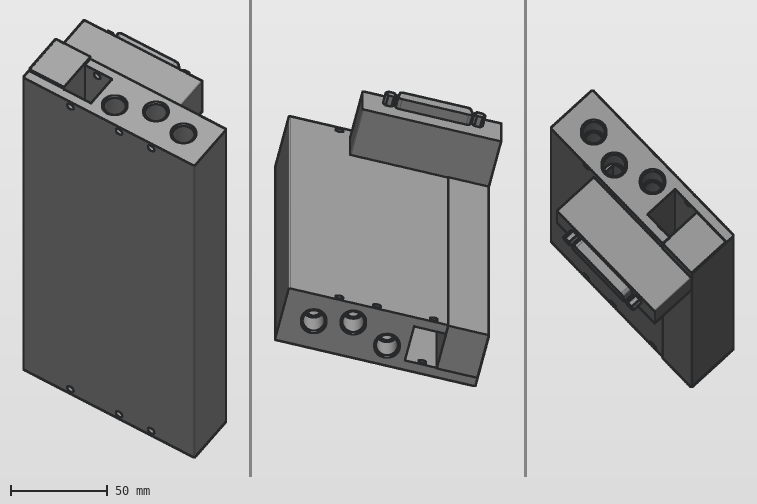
import cadquery as cq
import math

length = 238.0
width = 106.6
depth = 61.6

end_step = 1.5
body_depth = 29.8
body_bottom = end_step
body_top = length - end_step
body_edge_radius = 0.7

side_recess = 0.2
rail_right = 22.0
rail_front = 5.5
rail_back = 30.0
rail_edge_radius = 0.7

passage_right = 38.8
passage_front = 5.2
passage_back = 24.8

port_pitch = 20.0
first_port_x = 49.7
port_y_positions = [11.0, 19.3, 15.0]
port_mouth_diameter = 13.3
port_diameter = 11.5
port_chamfer = (port_mouth_diameter - port_diameter) / 2
port_length = 19.0
channel_diameter = 9.3
flat_channel_width = 7.5
flat_channel_port = 1

cross_hole_diameter = 4.0
cross_hole_inset = 3.8
cross_hole_x = [29.5, first_port_x + port_pitch / 2, first_port_x + 1.5 * port_pitch]

housing_right = 74.0
housing_bottom = 202.8
housing_top = 227.5
housing_back = 56.0
housing_edge_radius = 0.5

shell_center_x = 36.7
shell_bottom = 214.7
shell_height = 9.3
shell_width = 40.5
shell_side_angle = 10.0
shell_corner_radius = 2.1

post_spacing = 47.1
post_across_corners = 6.0
post_center_z = 218.0


def box(x_range, y_range, z_range):
    """Block between the given limits on each axis."""
    size = [high - low for low, high in (x_range, y_range, z_range)]
    corner = (x_range[0], y_range[0], z_range[0])
    return cq.Workplane("XY").box(*size, centered=False).translate(corner)


def make_body():
    body = box((0, width), (0, body_depth), (body_bottom, body_top)).edges("|Z").fillet(body_edge_radius)
    rail = box((side_recess, rail_right), (rail_front, rail_back), (0, length))
    rail = rail.edges("|Z and <X").fillet(rail_edge_radius)
    passage = box((rail_right, passage_right), (passage_front, passage_back), (0, length))
    return body.union(rail).cut(passage)


def port_cutter(x, y):
    """Chamfered blind ports sunk from both ends of the body."""
    radius = port_diameter / 2
    mouth_radius = port_mouth_diameter / 2
    profile = [
        (0, 0),
        (mouth_radius, 0),
        (radius, port_chamfer),
        (radius, port_length),
        (0, port_length),
    ]
    port = cq.Workplane("XZ").polyline(profile).close().revolve(360, (0, 0), (0, 1))
    lower_port = port.translate((x, y, body_bottom))
    upper_port = port.mirror("XY").translate((x, y, body_top))
    return lower_port.union(upper_port)


def channel_cutter(x, y, flat_sided):
    """Channel joining the two ports of one axis, optionally narrowed by a flat on each side."""
    channel = cq.Workplane("XY", origin=(x, y, 0)).circle(channel_diameter / 2).extrude(length)
    if flat_sided:
        half_width = flat_channel_width / 2
        channel = channel.intersect(box((x - half_width, x + half_width), (0, body_depth), (0, length)))
    return channel


def cross_hole_cutters():
    heights = [body_bottom + cross_hole_inset, body_top - cross_hole_inset]
    centers = [(x, z) for x in cross_hole_x for z in heights]
    return cq.Workplane("XZ").pushPoints(centers).circle(cross_hole_diameter / 2).extrude(-rail_back)


def make_shell():
    side_shift = shell_height * math.tan(math.radians(shell_side_angle))
    half_bottom = shell_width / 2
    half_top = half_bottom - side_shift
    outline = [
        (-half_bottom, 0),
        (half_bottom, 0),
        (half_top, shell_height),
        (-half_top, shell_height),
    ]
    shell = cq.Workplane("XZ").polyline(outline).close().extrude(-(depth - body_depth))
    shell = shell.edges("|Y").fillet(shell_corner_radius)
    return shell.translate((shell_center_x, body_depth, shell_bottom))


def make_posts():
    centers = [(shell_center_x + side * post_spacing / 2, post_center_z) for side in (-1, 1)]
    posts = cq.Workplane("XZ", origin=(0, body_depth, 0)).pushPoints(centers)
    return posts.polygon(6, post_across_corners).extrude(-(depth - body_depth))


def make_housing():
    housing = box((side_recess, housing_right), (body_depth, housing_back), (housing_bottom, housing_top))
    return housing.edges("|Y").fillet(housing_edge_radius)


result = make_body().union(make_housing()).union(make_shell()).union(make_posts())
for index, port_y in enumerate(port_y_positions):
    port_x = first_port_x + index * port_pitch
    result = result.cut(port_cutter(port_x, port_y))
    result = result.cut(channel_cutter(port_x, port_y, index == flat_channel_port))
result = result.cut(cross_hole_cutters())